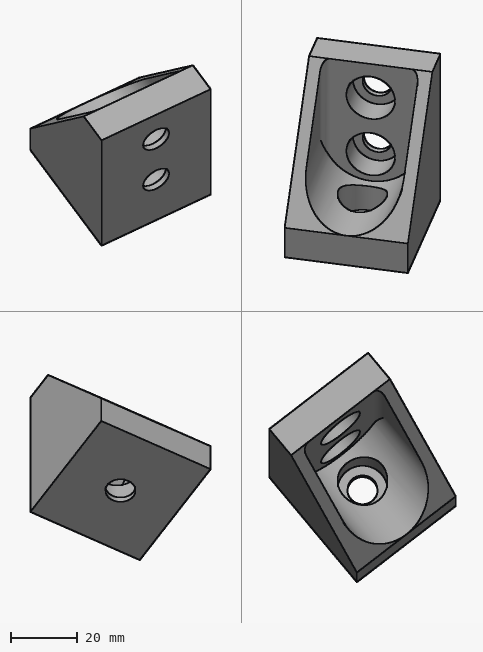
import cadquery as cq

length = 42.0
width = 38.0
height = 52.0
front_lip_height = 10.5
back_wall = 10.5
back_face_x = length - back_wall

pocket_width = 30.0
pocket_radius = pocket_width / 2
pocket_floor_z = 10.5
pocket_axis_z = pocket_floor_z + pocket_radius
corner_radius = 2.5

hole_diameter = 9.0
counterbore_diameter = 15.0
seat_thickness = 2.0
floor_hole_x = length / 2
wall_hole_heights = (20.0, 40.0)


def make_body():
    """Block with a slope from the front lip up to the back wall, centred on Y."""
    return (
        cq.Workplane("XZ")
        .moveTo(0, 0)
        .lineTo(length, 0)
        .lineTo(length, height)
        .lineTo(back_face_x, height)
        .lineTo(0, front_lip_height)
        .close()
        .extrude(width / 2, both=True)
    )


def make_pocket():
    """U-shaped channel along X, with rounded vertical corners at the back wall."""
    channel = (
        cq.Workplane("YZ")
        .moveTo(-pocket_radius, height)
        .lineTo(-pocket_radius, pocket_axis_z)
        .threePointArc((0, pocket_floor_z), (pocket_radius, pocket_axis_z))
        .lineTo(pocket_radius, height)
        .close()
        .extrude(back_face_x)
    )
    rounded_end = (
        cq.Workplane("XY")
        .box(back_face_x, pocket_width, height, centered=(False, True, False))
        .edges("|Z and >X")
        .fillet(corner_radius)
    )
    return channel.intersect(rounded_end)


def make_bolt_cutter(seat, direction, seat_to_pocket):
    """Through hole below the bolt seat and counterbore from the seat into the pocket."""
    hole = cq.Solid.makeCylinder(hole_diameter / 2, seat_thickness, seat, direction)
    counterbore = cq.Solid.makeCylinder(
        counterbore_diameter / 2, seat_to_pocket, seat, direction * -1
    )
    return cq.Workplane(obj=hole).union(cq.Workplane(obj=counterbore))


result = make_body().cut(make_pocket())

floor_seat = cq.Vector(floor_hole_x, 0, seat_thickness)
floor_bore_depth = pocket_axis_z - seat_thickness
result = result.cut(make_bolt_cutter(floor_seat, cq.Vector(0, 0, -1), floor_bore_depth))

wall_bore_depth = back_wall - seat_thickness
for hole_z in wall_hole_heights:
    wall_seat = cq.Vector(length - seat_thickness, 0, hole_z)
    result = result.cut(make_bolt_cutter(wall_seat, cq.Vector(1, 0, 0), wall_bore_depth))